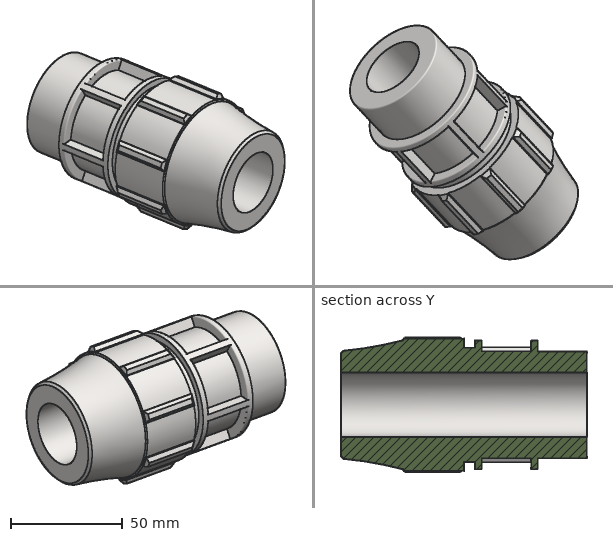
import cadquery as cq
import math


spigot_end = 22.0
collar_end = 50.2
nut_start = 55.0
nut_end = 82.4
total_length = 110.0

bore_radius = 28.7 / 2
spigot_radius = 47.8 / 2
collar_radius = 57.6 / 2
neck_radius = 51.2 / 2
nut_radius = 29.7
taper_start_radius = collar_radius
taper_middle_radius = 26.0
taper_end_radius = 24.2

edge_round = 0.7
nut_edge_length = 0.4
tip_chamfer = 1.2

flange_thickness = 3.2
collar_rib_count = 6
collar_rib_width = 3.3

grip_count = 8
grip_shoulder_radius = 30.0
grip_top_radius = 32.0
grip_base_width = 5.5
grip_top_width = 2.6
grip_front_slope = 1.9
grip_back_slope = 0.9
grip_setback = 0.3
grip_end = nut_end - grip_setback
grip_root_radius = 27.5


def round_edge(sketch, start, end, center):
    """Draw a line to start, then a quarter round outward about center as far as end."""
    reach = edge_round * math.sqrt(0.5)
    middle = (
        center[0] + math.copysign(reach, start[0] + end[0] - 2 * center[0]),
        center[1] + reach,
    )
    return sketch.lineTo(*start).threePointArc(middle, end)


def revolve_about_axis(sketch):
    """Close an outline and turn it fully round the X axis."""
    return sketch.close().revolve(360, (0, 0, 0), (1, 0, 0))


def turned_body():
    """Bored outer shape of the whole coupling, before pockets and grip ribs."""
    profile = cq.Workplane("XY").moveTo(0, bore_radius)
    for face, radius, next_face in (
        (0, spigot_radius, spigot_end),
        (spigot_end, collar_radius, collar_end),
    ):
        profile = round_edge(
            profile,
            start=(face, radius - edge_round),
            end=(face + edge_round, radius),
            center=(face + edge_round, radius - edge_round),
        ).lineTo(next_face, radius)
    taper_end = total_length - tip_chamfer
    profile = (
        profile.lineTo(collar_end, neck_radius)
        .lineTo(nut_start, neck_radius)
        .lineTo(nut_start, nut_radius)
        .lineTo(nut_end - nut_edge_length, nut_radius)
        .lineTo(nut_end, taper_start_radius)
        .threePointArc(
            ((nut_end + taper_end) / 2, taper_middle_radius),
            (taper_end, taper_end_radius),
        )
        .lineTo(total_length, taper_end_radius - tip_chamfer)
        .lineTo(total_length, bore_radius)
    )
    return revolve_about_axis(profile)


def collar_pockets():
    """Ring between the flanges, flared at its rim and interrupted by the ribs."""
    left = spigot_end + flange_thickness
    right = collar_end - flange_thickness
    rim = collar_radius - edge_round
    profile = cq.Workplane("XY").moveTo(left, spigot_radius)
    profile = round_edge(
        profile,
        start=(left, rim),
        end=(left - edge_round, collar_radius),
        center=(left - edge_round, rim),
    )
    profile = round_edge(
        profile,
        start=(right + edge_round, collar_radius),
        end=(right, rim),
        center=(right + edge_round, rim),
    ).lineTo(right, spigot_radius)
    ring = revolve_about_axis(profile)

    collar_length = collar_end - spigot_end
    bar = cq.Workplane("XY").box(collar_length, 2 * nut_radius, collar_rib_width)
    bar = bar.translate((spigot_end + collar_length / 2, 0, 0))
    rib_pitch = 360 / collar_rib_count
    for index in range(collar_rib_count // 2):
        ring = ring.cut(bar.rotate((0, 0, 0), (1, 0, 0), index * rib_pitch))
    return ring


def grip_rib():
    """Bar pointing along +Z with sloping sides and ends."""
    half_base = grip_base_width / 2
    half_top = grip_top_width / 2
    side_profile = (
        cq.Workplane("XZ")
        .polyline(
            [
                (nut_start, grip_root_radius),
                (nut_start, grip_shoulder_radius),
                (nut_start + grip_front_slope, grip_top_radius),
                (grip_end - grip_back_slope, grip_top_radius),
                (grip_end, grip_shoulder_radius),
                (grip_end, grip_root_radius),
            ]
        )
        .close()
        .extrude(half_base, both=True)
    )
    cross_section = (
        cq.Workplane("YZ")
        .polyline(
            [
                (-half_base, grip_root_radius),
                (-half_base, grip_shoulder_radius),
                (-half_top, grip_top_radius),
                (half_top, grip_top_radius),
                (half_base, grip_shoulder_radius),
                (half_base, grip_root_radius),
            ]
        )
        .close()
        .extrude(total_length)
    )
    return side_profile.intersect(cross_section)


result = turned_body().cut(collar_pockets())

grip_pitch = 360 / grip_count
single_grip = grip_rib()
for index in range(grip_count):
    angle = (index + 0.5) * grip_pitch
    result = result.union(single_grip.rotate((0, 0, 0), (1, 0, 0), angle))